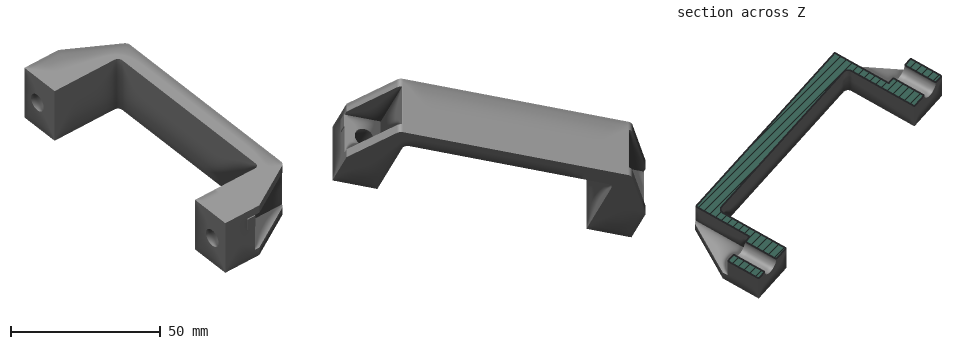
import cadquery as cq

length = 106.0
depth = 35.0
height = 21.5

tab_thickness = 0.3
tab_length = 3.4
tab_height = 4.8

body_length = length - tab_thickness
leg_width = 15.9
grip_thickness = 7.2
shoulder_y = 14.7
slope_run = 11.9
outer_radius = 2.1
inner_radius = 1.9

hole_diameter = 6.6
hole_spacing = 92.0
pocket_height = 15.2
pocket_seat_y = 12.8
pocket_wall_offset = 12.7

center_x = body_length / 2
center_z = height / 2


def make_body():
    """Extruded outline with sloping shoulders and a rounded hand opening."""
    outline = [
        (0, 0),
        (0, shoulder_y),
        (slope_run, depth),
        (body_length - slope_run, depth),
        (body_length, shoulder_y),
        (body_length, 0),
    ]
    shell = cq.Workplane("XY").polyline(outline).close().extrude(height)
    shell = shell.edges("|Z and >Y").fillet(outer_radius)

    opening_depth = depth - grip_thickness
    opening = (
        cq.Workplane("XY")
        .center(center_x, opening_depth / 2)
        .rect(body_length - 2 * leg_width, opening_depth)
        .extrude(height)
        .edges("|Z and >Y")
        .fillet(inner_radius)
    )
    return shell.cut(opening)


def make_screw_hole(x):
    """Cylinder along Y through a leg."""
    return cq.Workplane("XZ", origin=(x, 0, center_z)).circle(hole_diameter / 2).extrude(-depth)


def make_pocket(outer_x, inner_x):
    """Box open to the end and back, with a flat seat for the screw head."""
    return (
        cq.Workplane("XY")
        .box(abs(inner_x - outer_x), depth - pocket_seat_y, pocket_height)
        .translate(((outer_x + inner_x) / 2, (depth + pocket_seat_y) / 2, center_z))
    )


def make_tab():
    """Thin tab beside the upper corner of the right pocket."""
    tab_top = center_z + pocket_height / 2
    return (
        cq.Workplane("XY")
        .box(tab_thickness, tab_length, tab_height, centered=False)
        .translate((body_length, pocket_seat_y - tab_length, tab_top - tab_height))
    )


result = make_body()
for side in (-1, 1):
    outer_x = center_x + side * body_length / 2
    inner_x = outer_x - side * pocket_wall_offset
    result = result.cut(make_screw_hole(center_x + side * hole_spacing / 2))
    result = result.cut(make_pocket(outer_x, inner_x))
result = result.union(make_tab()).translate((-length / 2, -depth / 2, -center_z))